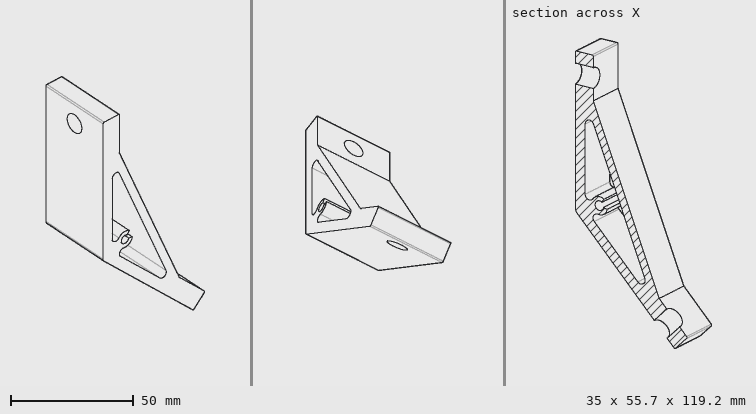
import cadquery as cq
import math

width = 35.0
leg_length = 70.0
leg_thickness = 9.1
bend_angle = 45.0
tip_length = 19.9
wall = 5.0
strap_thickness = 4.0
bend_radius = 2.0
tip_radius = 0.6
window_radius = 2.0
clip_distance = 13.0
clip_outer_radius = 4.0
clip_inner_radius = 2.0
clip_opening_angle = 65.0
valley_radius = 2.0
hole_diameter = 9.0
hole_from_tip = 10.0

half_turn = math.radians(bend_angle / 2)
bisector = (math.cos(half_turn), math.sin(half_turn))


def mirrored(point):
    """Reflect a point on the upper leg across the bisector to the lower leg."""
    y, z = point
    along = y * bisector[0] + z * bisector[1]
    return (2 * along * bisector[0] - y, 2 * along * bisector[1] - z)


def on_bisector(distance):
    return (distance * bisector[0], distance * bisector[1])


def prism(points):
    return cq.Workplane("YZ").polyline(points).close().extrude(width / 2, both=True)


def cylinder(center, radius):
    return cq.Workplane("YZ").center(*center).circle(radius).extrude(width / 2, both=True)


def round_edges(body, points, radius):
    """Fillet the edges along X that pass through the given profile points."""
    for y, z in points:
        body = body.edges(cq.selectors.NearestToPointSelector((0, y, z))).fillet(radius)
    return body


def make_frame():
    front_tip = (0, leg_length)
    rear_tip = (leg_thickness, leg_length)
    kink = (leg_thickness, leg_length - tip_length)
    tips = [front_tip, rear_tip, mirrored(rear_tip), mirrored(front_tip)]
    frame = prism([(0, 0), front_tip, rear_tip, kink, mirrored(kink), mirrored(rear_tip), mirrored(front_tip)])
    frame = round_edges(frame, [(0, 0)], bend_radius)
    return round_edges(frame, tips, tip_radius)


window_corner = on_bisector(wall / bisector[0])


def make_window():
    kink_z = leg_length - tip_length
    strap_outside = leg_thickness * bisector[0] + kink_z * bisector[1]
    strap_inside = strap_outside - strap_thickness
    top = (wall, (strap_inside - wall * bisector[0]) / bisector[1])
    window = prism([window_corner, top, mirrored(top)])
    return round_edges(window, [top, mirrored(top)], window_radius)


def make_clip():
    center = on_bisector(clip_distance)

    valley_y = wall + valley_radius
    center_spacing = clip_outer_radius + valley_radius
    valley_z = center[1] + math.sqrt(center_spacing**2 - (center[0] - valley_y) ** 2)
    valley = (valley_y, valley_z)
    tangent = (wall, valley_z)

    web = prism([window_corner, tangent, valley, center, mirrored(valley), mirrored(tangent)])
    clip = web.union(cylinder(center, clip_outer_radius))
    for valley_center in (valley, mirrored(valley)):
        clip = clip.cut(cylinder(valley_center, valley_radius))

    mouth_reach = 2 * clip_outer_radius
    lip_angle = half_turn + math.radians(clip_opening_angle / 2)
    upper_lip = (
        center[0] + mouth_reach * math.cos(lip_angle),
        center[1] + mouth_reach * math.sin(lip_angle),
    )
    mouth = prism([center, upper_lip, mirrored(upper_lip)])
    return clip.cut(mouth).cut(cylinder(center, clip_inner_radius))


def drill(body):
    """Cut one mounting hole square through the free end of each leg."""
    start = (0, leg_length - hole_from_tip)
    end = (leg_thickness, start[1])
    for (y, z), (far_y, far_z) in ((start, end), (mirrored(start), mirrored(end))):
        direction = cq.Vector(0, far_y - y, far_z - z)
        hole = cq.Solid.makeCylinder(hole_diameter / 2, leg_thickness, cq.Vector(0, y, z), direction)
        body = body.cut(cq.Workplane(obj=hole))
    return body


bracket = make_frame().cut(make_window()).union(make_clip())
result = drill(bracket)